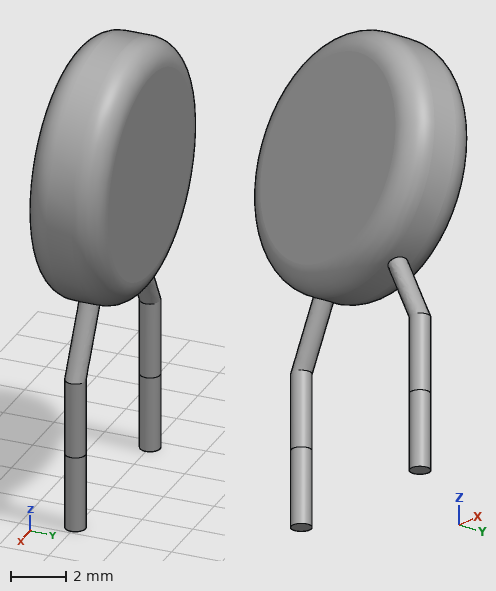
import cadquery as cq

overall_height = 18.0
disc_diameter = 10.0
disc_thickness = 3.0
disc_edge_radius = 1.0
lead_diameter = 0.8
lead_spacing = 7.0
tail_length = 3.0
shank_length = 3.0
lean_per_rise = 0.52

disc_center_height = overall_height - tail_length - disc_diameter / 2
slope_rise = disc_center_height - shank_length
slope_run = slope_rise * lean_per_rise


def make_disc():
    """Round body standing on edge, axis along Y, with rounded rims."""
    return (
        cq.Workplane("XZ", origin=(0, disc_thickness / 2, disc_center_height))
        .circle(disc_diameter / 2)
        .extrude(disc_thickness)
        .faces("<Y or >Y")
        .edges()
        .fillet(disc_edge_radius)
    )


def make_tail(side):
    """Lower straight piece of the lead on one side (-1 or +1)."""
    return (
        cq.Workplane("XY", origin=(side * lead_spacing / 2, 0, 0))
        .circle(lead_diameter / 2)
        .extrude(-tail_length)
    )


def make_upper_lead(side, disc):
    """Straight shank and inward slope, with the slope trimmed to end on the disc."""
    shank = (
        cq.Workplane("XY", origin=(side * lead_spacing / 2, 0, 0))
        .circle(lead_diameter / 2)
        .extrude(shank_length)
    )
    slope = (
        shank.faces(">Z")
        .workplane(centerOption="CenterOfMass")
        .circle(lead_diameter / 2)
        .workplane(offset=slope_rise)
        .center(-side * slope_run, 0)
        .circle(lead_diameter / 2)
        .loft(ruled=True, combine=False)
    )
    slope_below_disc = slope.cut(disc).solids("<Z")
    return shank.union(slope_below_disc)


disc = make_disc()
bodies = [disc.val()]
for side in (-1, 1):
    bodies.append(make_tail(side).val())
    bodies.append(make_upper_lead(side, disc).solids().val())

result = cq.Compound.makeCompound(bodies)